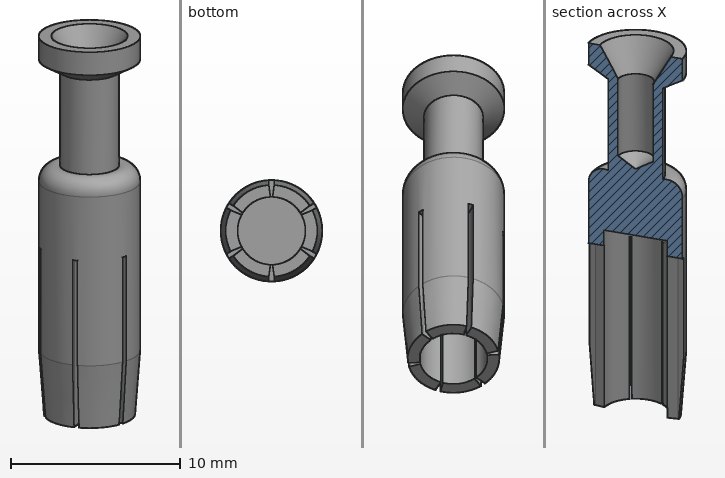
import cadquery as cq
import math

total_height = 23.5
taper_height = 4.0
slot_height = 10.5
body_height = 15.5
rim_height = 1.43

body_radius = 3.0
tip_radius = 2.7
neck_radius = 1.75
body_top_round = 1.0
head_underside_angle = math.radians(30)

funnel_top_radius = 2.25
wire_hole_radius = 1.1
funnel_depth = 2.0
wire_hole_depth = 7.0
drill_tip_angle = math.radians(118)

socket_radius = 2.0
socket_depth = 11.5
slot_count = 6
slot_width = 0.3
slot_narrowing_radius = 2.62
slot_side_angle = math.radians(8)
first_slot_angle = 30
slot_overrun = 1.0

rim_bottom = total_height - rim_height
neck_top = rim_bottom - (body_radius - neck_radius) * math.tan(head_underside_angle)


def make_outer_body():
    """Revolve the body, neck and head as one solid."""
    round_center_radius = body_radius - body_top_round
    round_start = body_height - body_top_round
    neck_offset = round_center_radius - neck_radius
    neck_bottom = round_start + math.sqrt(body_top_round**2 - neck_offset**2)
    outline = (
        cq.Workplane("XZ")
        .lineTo(tip_radius, 0)
        .lineTo(body_radius, taper_height)
        .lineTo(body_radius, round_start)
        .threePointArc(
            (round_center_radius, body_height),
            (neck_radius, neck_bottom),
        )
        .lineTo(neck_radius, neck_top)
        .lineTo(body_radius, rim_bottom)
        .lineTo(body_radius, total_height)
        .lineTo(0, total_height)
        .close()
    )
    return outline.revolve(360, (0, 0), (0, 1))


def make_wire_hole():
    """Revolve the funnel, straight hole and conical drill tip."""
    funnel_bottom = total_height - funnel_depth
    hole_bottom = total_height - wire_hole_depth
    drill_tip_depth = wire_hole_radius / math.tan(drill_tip_angle / 2)
    outline = (
        cq.Workplane("XZ")
        .moveTo(0, total_height)
        .lineTo(funnel_top_radius, total_height)
        .lineTo(wire_hole_radius, funnel_bottom)
        .lineTo(wire_hole_radius, hole_bottom)
        .lineTo(0, hole_bottom - drill_tip_depth)
        .close()
    )
    return outline.revolve(360, (0, 0), (0, 1))


def make_socket_bore():
    """Blind bore that leaves a thin spring wall around the lower end."""
    return cq.Workplane("XY").circle(socket_radius).extrude(socket_depth)


def make_slot(angle):
    """Slot cutter, parallel-sided in the outer wall and narrowing toward the bore."""
    cutter_end = body_radius + slot_overrun
    half_width = slot_width / 2
    apex_radius = slot_narrowing_radius - half_width / math.tan(slot_side_angle)
    cutter = (
        cq.Workplane("XY")
        .moveTo(apex_radius, 0)
        .lineTo(slot_narrowing_radius, -half_width)
        .lineTo(cutter_end, -half_width)
        .lineTo(cutter_end, half_width)
        .lineTo(slot_narrowing_radius, half_width)
        .close()
        .extrude(slot_height)
    )
    return cutter.rotate((0, 0, 0), (0, 0, 1), angle)


result = make_outer_body().cut(make_wire_hole()).cut(make_socket_bore())
for index in range(slot_count):
    result = result.cut(make_slot(first_slot_angle + index * 360 / slot_count))